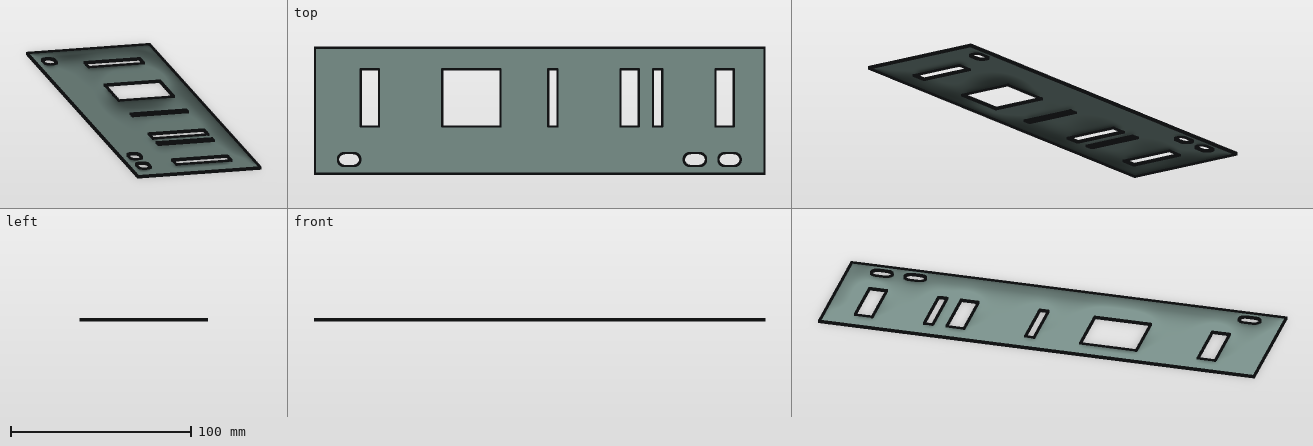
import cadquery as cq

panel_length = 249.5
panel_width = 70.1
panel_thickness = 0.8

window_height = 31.7
window_center_y = 42.2
narrow_width = 5.0
medium_width = 10.0
wide_width = 32.2

windows = [
    (30.5, medium_width),
    (86.9, wide_width),
    (132.0, narrow_width),
    (174.7, medium_width),
    (190.2, narrow_width),
    (227.5, medium_width),
]

slot_length = 12.2
slot_width = 7.0
slot_center_y = 8.0
slot_centers_x = [19.0, 211.0, 230.1]


def make_panel():
    return cq.Workplane("XY").box(panel_length, panel_width, panel_thickness, centered=False)


def cut_windows(body):
    for center_x, width in windows:
        cutter = (
            cq.Workplane("XY")
            .center(center_x, window_center_y)
            .rect(width, window_height)
            .extrude(panel_thickness)
        )
        body = body.cut(cutter)
    return body


def cut_slots(body):
    slot_points = [(center_x, slot_center_y) for center_x in slot_centers_x]
    cutters = (
        cq.Workplane("XY")
        .pushPoints(slot_points)
        .slot2D(slot_length, slot_width)
        .extrude(panel_thickness)
    )
    return body.cut(cutters)


result = cut_slots(cut_windows(make_panel()))